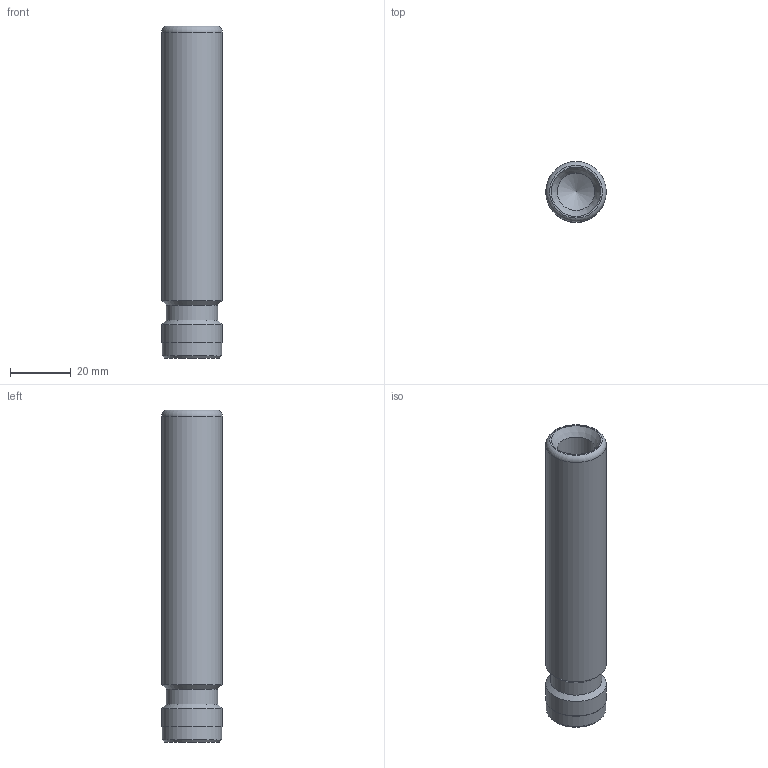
import cadquery as cq
import math

length = 109.72
body_radius = 20.0 / 2

pilot_radius = 19.7 / 2
pilot_height = 5.0
pilot_chamfer_height = 0.72
pilot_chamfer_depth = 0.6

groove_radius = 17.0 / 2
groove_bottom = 11.0
groove_top = 19.0
groove_depth = body_radius - groove_radius

lead_height = 2.0
lead_depth = 1.3
lead_radius = (lead_height**2 + lead_depth**2) / (2 * lead_depth)

bore_radius = 12.4 / 2
mouth_radius = 16.3 / 2
mouth_depth = 3.2
bore_depth = 25.0
drill_point_angle = 118.0
drill_point_depth = bore_radius / math.tan(math.radians(drill_point_angle / 2))


def make_pin():
    """Revolve the outer profile of the pin about Z."""
    lead_half_angle = math.asin(lead_height / lead_radius) / 2
    lead_center_r = body_radius - lead_radius
    lead_start_z = length - lead_height
    lead_mid = (
        lead_center_r + lead_radius * math.cos(lead_half_angle),
        lead_start_z + lead_radius * math.sin(lead_half_angle),
    )
    profile = (
        cq.Workplane("XZ")
        .moveTo(0, 0)
        .lineTo(pilot_radius - pilot_chamfer_depth, 0)
        .lineTo(pilot_radius, pilot_chamfer_height)
        .lineTo(pilot_radius, pilot_height)
        .lineTo(body_radius, pilot_height)
        .lineTo(body_radius, groove_bottom)
        .lineTo(groove_radius, groove_bottom + groove_depth)
        .lineTo(groove_radius, groove_top - groove_depth)
        .lineTo(body_radius, groove_top)
        .lineTo(body_radius, lead_start_z)
        .threePointArc(lead_mid, (body_radius - lead_depth, length))
        .lineTo(0, length)
        .close()
    )
    return profile.revolve(360, (0, 0, 0), (0, 1, 0))


def make_bore():
    """Revolve the space removed by the flared blind bore."""
    bore_floor = length - bore_depth
    profile = (
        cq.Workplane("XZ")
        .moveTo(0, length)
        .lineTo(mouth_radius, length)
        .lineTo(bore_radius, length - mouth_depth)
        .lineTo(bore_radius, bore_floor)
        .lineTo(0, bore_floor - drill_point_depth)
        .close()
    )
    return profile.revolve(360, (0, 0, 0), (0, 1, 0))


result = make_pin().cut(make_bore())